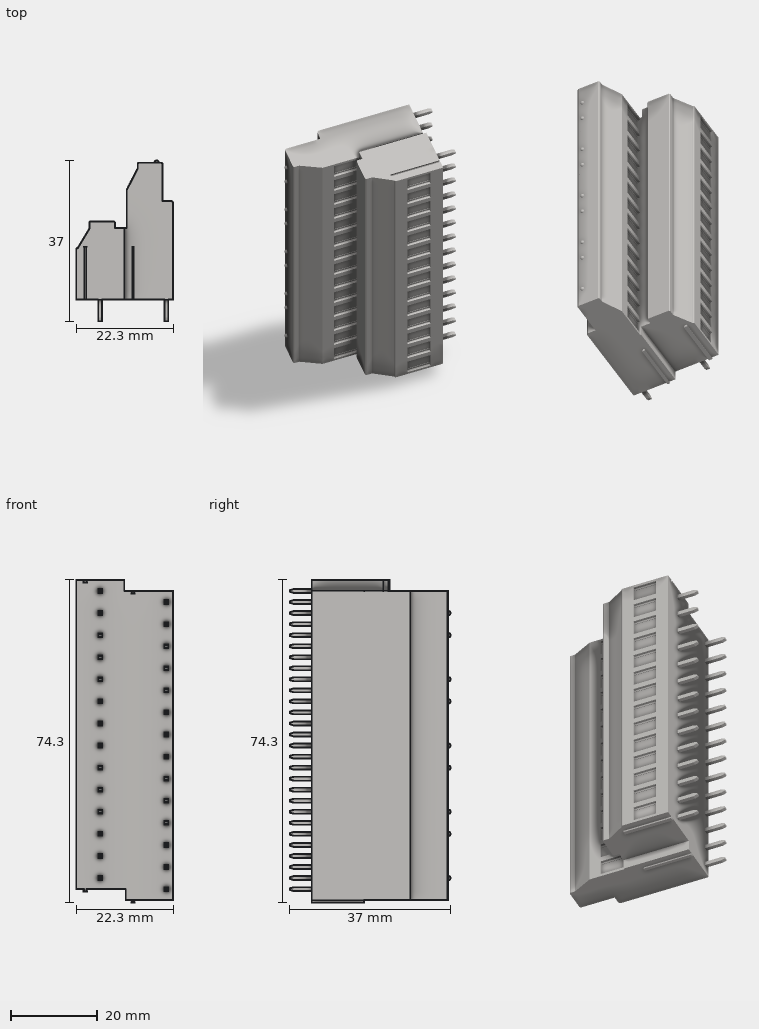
import cadquery as cq


POLES = 14
PITCH = 5.08
BLOCK_LENGTH = POLES * PITCH
REAR_START = 0.0
FRONT_START = REAR_START + PITCH / 2

DEPTH = 22.3
LEDGE_HEIGHT = 16.5
TOP_CHAMFER = 0.3

FRONT_DEPTH = 11.1
FRONT_HEIGHT = 18.0
FRONT_SLOPE_START = 11.55
FRONT_SLOPE_END = 16.3
FRONT_LEAD_RADIUS = 0.35
FRONT_TOP_X = 3.0
FRONT_TOP_END_X = 8.95
FRONT_TOP_CHAMFER = 0.25

REAR_FOOT_X = 11.35
REAR_FACE_X = 11.6
REAR_HEIGHT = 31.5
REAR_SLOPE_START = 25.25
REAR_SLOPE_END = 30.1
REAR_TOP_X = 14.1
REAR_TOP_END_X = 19.9
REAR_TOP_RADIUS = 0.35
REAR_STEP_HEIGHT = 22.7
REAR_STEP_RADIUS = 0.6

WINDOW_WIDTH = 3.8
WINDOW_DEPTH = 0.6
WINDOW_FLOOR_WIDTH = 2.9
WINDOW_FLOOR_DEPTH = 0.7
FRONT_WINDOW_BASE = 3.1
FRONT_WINDOW_HEIGHT = 5.7
REAR_WINDOW_BASE = LEDGE_HEIGHT
REAR_WINDOW_HEIGHT = 5.95

TONGUE_DEPTH = 0.6
TONGUE_HEIGHT = 12.1
FRONT_TONGUE_X = 2.05
FRONT_TONGUE_NECK = 0.5
FRONT_TONGUE_HEAD = 0.95
REAR_TONGUE_X = 13.05
REAR_TONGUE_NECK = 0.25
REAR_TONGUE_HEAD = 0.8

PIN_SIZE = 0.95
PIN_LENGTH = 5.0
PIN_TIP_LENGTH = 0.9
PIN_TIP_WIDTH = 0.4
PIN_ROOT = 1.0
FRONT_PIN_X = 5.5
REAR_PIN_X = FRONT_PIN_X + 3 * PITCH

BUMP_RADIUS = 0.5
BUMP_X = 18.5
BUMP_BOUNDARIES = [n for n in range(1, POLES) if n % 3 != 0]


def box(x0, x1, y0, y1, z0, z1):
    return cq.Workplane("XY").box(x1 - x0, y1 - y0, z1 - z0, centered=False).translate((x0, y0, z0))


def pole_centres(start):
    return [start + (n + 0.5) * PITCH for n in range(POLES)]


def front_block():
    profile = (
        cq.Workplane("XY", origin=(0, 0, FRONT_START))
        .lineTo(FRONT_DEPTH, 0)
        .lineTo(FRONT_DEPTH, LEDGE_HEIGHT)
        .lineTo(FRONT_TOP_END_X, LEDGE_HEIGHT)
        .lineTo(FRONT_TOP_END_X, FRONT_HEIGHT - TOP_CHAMFER)
        .lineTo(FRONT_TOP_END_X - TOP_CHAMFER, FRONT_HEIGHT)
        .lineTo(FRONT_TOP_X + FRONT_TOP_CHAMFER, FRONT_HEIGHT)
        .lineTo(FRONT_TOP_X, FRONT_HEIGHT - FRONT_TOP_CHAMFER)
        .lineTo(FRONT_TOP_X, FRONT_SLOPE_END)
        .lineTo(FRONT_LEAD_RADIUS, FRONT_SLOPE_START + FRONT_LEAD_RADIUS)
        .radiusArc((0, FRONT_SLOPE_START), -FRONT_LEAD_RADIUS)
        .close()
    )
    return profile.extrude(BLOCK_LENGTH)


def rear_block():
    profile = (
        cq.Workplane("XY", origin=(0, 0, REAR_START))
        .moveTo(REAR_FOOT_X, 0)
        .lineTo(DEPTH, 0)
        .lineTo(DEPTH, REAR_STEP_HEIGHT - REAR_STEP_RADIUS)
        .radiusArc((DEPTH - REAR_STEP_RADIUS, REAR_STEP_HEIGHT), -REAR_STEP_RADIUS)
        .lineTo(REAR_TOP_END_X, REAR_STEP_HEIGHT)
        .lineTo(REAR_TOP_END_X, REAR_HEIGHT - TOP_CHAMFER)
        .lineTo(REAR_TOP_END_X - TOP_CHAMFER, REAR_HEIGHT)
        .lineTo(REAR_TOP_X + REAR_TOP_RADIUS, REAR_HEIGHT)
        .radiusArc((REAR_TOP_X, REAR_HEIGHT - REAR_TOP_RADIUS), -REAR_TOP_RADIUS)
        .lineTo(REAR_TOP_X, REAR_SLOPE_END)
        .lineTo(REAR_FACE_X, REAR_SLOPE_START)
        .lineTo(REAR_FACE_X, LEDGE_HEIGHT)
        .lineTo(REAR_FOOT_X, LEDGE_HEIGHT)
        .close()
    )
    return profile.extrude(BLOCK_LENGTH)


def joining_web():
    """Fills the gap between the blocks where they run side by side."""
    return box(FRONT_DEPTH, REAR_FOOT_X, 0, LEDGE_HEIGHT, FRONT_START, REAR_START + BLOCK_LENGTH)


def tongue(x, end_z, neck, head):
    """Dovetail rail hanging TONGUE_DEPTH below end_z, widening from neck to head."""
    head_z = end_z - TONGUE_DEPTH
    outline = [
        (x - neck / 2, end_z),
        (x + neck / 2, end_z),
        (x + head / 2, head_z),
        (x - head / 2, head_z),
    ]
    return cq.Workplane("XZ").polyline(outline).close().extrude(-TONGUE_HEIGHT)


def window(face_x, base, height, z):
    """Stepped recess cut into a face looking towards -X."""
    top = base + height
    recess = box(face_x, face_x + WINDOW_DEPTH, base, top, z - WINDOW_WIDTH / 2, z + WINDOW_WIDTH / 2)
    floor = box(
        face_x, face_x + WINDOW_FLOOR_DEPTH, base, top, z - WINDOW_FLOOR_WIDTH / 2, z + WINDOW_FLOOR_WIDTH / 2
    )
    return recess.union(floor)


def pin(x, z):
    """Square pin pointing towards -Y, its tip tapered in Z only."""
    half = PIN_SIZE / 2
    half_tip = PIN_TIP_WIDTH / 2
    taper_start = PIN_TIP_LENGTH - PIN_LENGTH
    outline = [
        (PIN_ROOT, -half),
        (taper_start, -half),
        (-PIN_LENGTH, -half_tip),
        (-PIN_LENGTH, half_tip),
        (taper_start, half),
        (PIN_ROOT, half),
    ]
    plane = cq.Workplane("YZ", origin=(x - half, 0, z))
    return plane.polyline(outline).close().extrude(PIN_SIZE)


def bump(z):
    """Half-round bump centred on the top face of the rear block."""
    return cq.Workplane("XY").sphere(BUMP_RADIUS).translate((BUMP_X, REAR_HEIGHT, z))


body = front_block().union(rear_block()).union(joining_web())

for tongue_x, start, neck, head in (
    (FRONT_TONGUE_X, FRONT_START, FRONT_TONGUE_NECK, FRONT_TONGUE_HEAD),
    (REAR_TONGUE_X, REAR_START, REAR_TONGUE_NECK, REAR_TONGUE_HEAD),
):
    body = body.union(tongue(tongue_x, start, neck, head))
    body = body.cut(tongue(tongue_x, start + BLOCK_LENGTH, neck, head))

windows = []
pins = []
for face_x, base, height, pin_x, start in (
    (0, FRONT_WINDOW_BASE, FRONT_WINDOW_HEIGHT, FRONT_PIN_X, FRONT_START),
    (REAR_FACE_X, REAR_WINDOW_BASE, REAR_WINDOW_HEIGHT, REAR_PIN_X, REAR_START),
):
    for z in pole_centres(start):
        windows.append(window(face_x, base, height, z).val())
        pins.append(pin(pin_x, z).val())

bumps = [bump(REAR_START + BLOCK_LENGTH - n * PITCH).val() for n in BUMP_BOUNDARIES]

solid = body.val().cut(*windows).fuse(*pins, *bumps)
result = cq.Workplane("XY").newObject([solid.Solids()[0]])